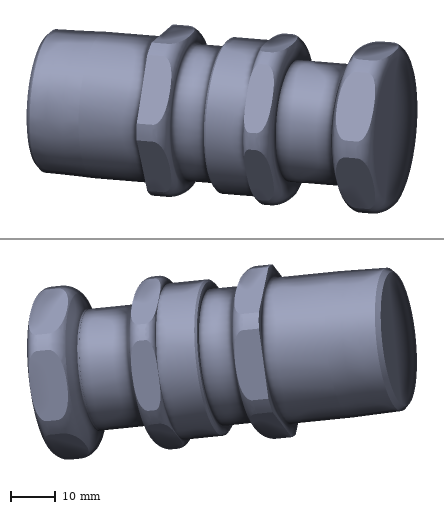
import cadquery as cq
import math

TOTAL_LENGTH = 82.75

HEX_FLATS = 36.0
HEX_ROUND_RADIUS = 39.5 / 2
HEX_CORNER_DIAMETER = HEX_FLATS / math.cos(math.pi / 6)

ENTRY_RADIUS = 33.35 / 2
TIP_RADIUS = 32.7 / 2
TIP_FACE_RADIUS = 30.6 / 2
TIP_CHAMFER_LENGTH = 1.1
TAPER_END = 12.75
ENTRY_HEX_START = 27.5
ENTRY_FILLET = 0.5
ENTRY_HEX_FLAT_END = 31.2
ENTRY_HEX_ROUNDING = 3.3
ENTRY_NECK_RADIUS = 31.2 / 2
ENTRY_NECK_FILLET = 0.8

SLEEVE_START = 42.7
SLEEVE_END = 52.2
SLEEVE_RADIUS = 35.7 / 2
SLEEVE_CHAMFER = 0.5

MIDDLE_NUT_END = 58.7
MIDDLE_FRONT_ROUNDING = 2.0
MIDDLE_REAR_ROUNDING = 3.0

STEM_RADIUS = 27.7 / 2

END_NUT_START = 71.4
COLLAR_RADIUS = 27.9 / 2
COLLAR_LENGTH = 0.4
END_CONE_TOP = 73.6
END_FLAT_START = 77.1
END_FRONT_ROUNDING = 4.1
END_REAR_ROUNDING = 3.1

DIAGONAL = math.sqrt(0.5)


def revolve_about_x(outline):
    """Turn a closed half outline, drawn as X against radius, about the X axis."""
    return outline.close().revolve(360, (0, 0, 0), (1, 0, 0))


def hex_prism(start, end):
    """Hexagonal bar along X with its flats facing up and down."""
    return (
        cq.Workplane("YZ", origin=(start, 0, 0))
        .polygon(6, HEX_CORNER_DIAMETER)
        .extrude(end - start)
    )


def rear_rounding(outline, flat_end, radius):
    """Add a quarter round from the hexagon's turned radius down to its rear face."""
    middle = (
        flat_end + radius * DIAGONAL,
        HEX_ROUND_RADIUS - radius * (1 - DIAGONAL),
    )
    return outline.threePointArc(middle, (flat_end + radius, HEX_ROUND_RADIUS - radius))


def make_entry_body():
    barrel = revolve_about_x(
        cq.Workplane("XY")
        .lineTo(0, TIP_FACE_RADIUS)
        .lineTo(TIP_CHAMFER_LENGTH, TIP_RADIUS)
        .lineTo(TAPER_END, ENTRY_RADIUS)
        .lineTo(ENTRY_HEX_START - ENTRY_FILLET, ENTRY_RADIUS)
        .radiusArc((ENTRY_HEX_START, ENTRY_RADIUS + ENTRY_FILLET), -ENTRY_FILLET)
        .lineTo(ENTRY_HEX_START, 0)
    )

    hex_end = ENTRY_HEX_FLAT_END + ENTRY_HEX_ROUNDING
    neck_start = hex_end + ENTRY_NECK_FILLET
    collar = cq.Workplane("XY").moveTo(ENTRY_HEX_START, 0).lineTo(ENTRY_HEX_START, HEX_ROUND_RADIUS)
    collar = collar.lineTo(ENTRY_HEX_FLAT_END, HEX_ROUND_RADIUS)
    collar = rear_rounding(collar, ENTRY_HEX_FLAT_END, ENTRY_HEX_ROUNDING)
    collar = (
        collar.radiusArc((neck_start, ENTRY_NECK_RADIUS), -ENTRY_NECK_FILLET)
        .lineTo(SLEEVE_START, ENTRY_NECK_RADIUS)
        .lineTo(SLEEVE_START, 0)
    )
    hex_and_neck = revolve_about_x(collar).intersect(hex_prism(ENTRY_HEX_START, SLEEVE_START))
    return barrel.union(hex_and_neck)


def make_sleeve():
    return (
        cq.Workplane("YZ", origin=(SLEEVE_START, 0, 0))
        .circle(SLEEVE_RADIUS)
        .extrude(SLEEVE_END - SLEEVE_START)
        .faces("<X")
        .chamfer(SLEEVE_CHAMFER)
    )


def make_middle_nut():
    flat_start = SLEEVE_END + MIDDLE_FRONT_ROUNDING
    flat_end = MIDDLE_NUT_END - MIDDLE_REAR_ROUNDING
    outline = (
        cq.Workplane("XY")
        .moveTo(SLEEVE_END, 0)
        .lineTo(SLEEVE_END, HEX_ROUND_RADIUS - MIDDLE_FRONT_ROUNDING)
        .radiusArc((flat_start, HEX_ROUND_RADIUS), MIDDLE_FRONT_ROUNDING)
        .lineTo(flat_end, HEX_ROUND_RADIUS)
    )
    outline = rear_rounding(outline, flat_end, MIDDLE_REAR_ROUNDING).lineTo(MIDDLE_NUT_END, 0)
    return revolve_about_x(outline).intersect(hex_prism(SLEEVE_END, MIDDLE_NUT_END))


def make_stem():
    return (
        cq.Workplane("YZ", origin=(MIDDLE_NUT_END, 0, 0))
        .circle(STEM_RADIUS)
        .extrude(END_NUT_START - MIDDLE_NUT_END)
    )


def make_end_nut():
    collar_end = END_NUT_START + COLLAR_LENGTH
    flat_end = TOTAL_LENGTH - END_REAR_ROUNDING
    arc_rise = math.sqrt(END_FRONT_ROUNDING**2 - (END_FLAT_START - END_CONE_TOP) ** 2)
    cone_top_radius = HEX_ROUND_RADIUS - END_FRONT_ROUNDING + arc_rise
    outline = (
        cq.Workplane("XY")
        .moveTo(END_NUT_START, 0)
        .lineTo(END_NUT_START, COLLAR_RADIUS)
        .lineTo(collar_end, COLLAR_RADIUS)
        .lineTo(END_CONE_TOP, cone_top_radius)
        .radiusArc((END_FLAT_START, HEX_ROUND_RADIUS), END_FRONT_ROUNDING)
        .lineTo(flat_end, HEX_ROUND_RADIUS)
    )
    outline = rear_rounding(outline, flat_end, END_REAR_ROUNDING).lineTo(TOTAL_LENGTH, 0)
    return revolve_about_x(outline).intersect(hex_prism(END_NUT_START, TOTAL_LENGTH))


entry_body = make_entry_body()
sleeve = make_sleeve()
middle_nut = make_middle_nut()
stem = make_stem()
end_nut = make_end_nut()

bodies = [entry_body, sleeve, middle_nut, stem, end_nut]
result = cq.Compound.makeCompound([body.solids().val() for body in bodies])